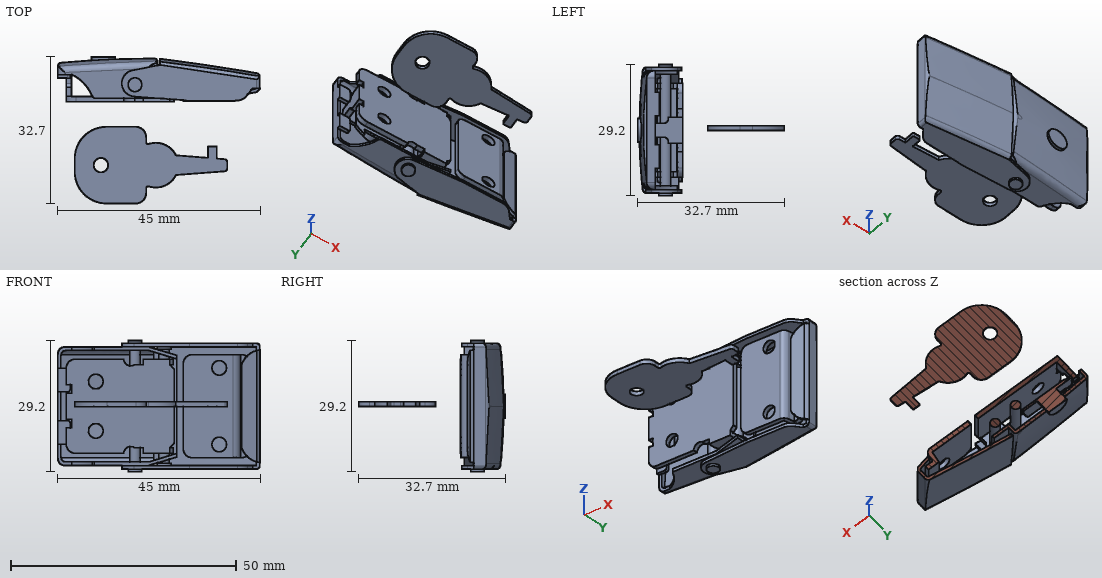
import cadquery as cq
import math

SHEET = 0.8
PLATE = 1.2
INSIDE_CORNER = 0.05
CORNER_BULGE = 0.7

PIN_X, PIN_Y = 17.15, 3.82
PIN_R = 1.15
PIN_HEAD_R = 1.55
PIN_LENGTH = 29.2
PIN_HALF_LENGTH = PIN_LENGTH / 2
ROD_X, ROD_Y = 23.62, 4.45
ROD_R = 1.15
ROD_HEAD_R = 1.55
ROD_HEAD_THICKNESS = 0.55

LEVER_HALF_WIDTH = 14.0
LEVER_INNER_HALF = LEVER_HALF_WIDTH - SHEET
LEVER_ROOF_X = 22.7
LEVER_END_X = 44.9
LEVER_FOLD_Y = (8.25, 6.55, 4.9)
LEVER_EAVE_Y = (8.95, 7.45, 5.7)
LEVER_RIDGE_Y = (9.65, 8.1, 6.3)
LEVER_EAVE_Z = 12.7
LEVER_END_WALL_Y = 3.0
LEVER_BOTTOM_Y = 0.25
LEVER_BOTTOM_X = (29.2, 39.85)
LEVER_TOE_MIDDLE = (41.2, 0.68)
LEVER_TOE_END = (42.1, 1.55)
LEVER_TOE_TOP_X = 43.3
LEVER_NOSE_R = 0.9
LEVER_HEADROOM = 0.45
LEVER_CORNER_R = 0.8
HINGE_EYE_Y = 4.15
HINGE_EYE_R = 2.92
HINGE_EYE_TOP_ANGLE, HINGE_EYE_BOTTOM_ANGLE = 100, -95

LIP_START_X, LIP_START_Y = 40.85, 1.55
LIP_EDGE_LEAN = 0.22
LIP_BEND_X, LIP_BEND_Y = 44.2, 2.15
LIP_END_X = 45
LIP_THICKNESS = 0.68
LIP_STRAIGHT_HALF = 8.32
LIP_END_HALF = 12.5
LIP_ARC_X, LIP_ARC_Z = 41.8, 10.9

COVER_HALF_WIDTH = LEVER_INNER_HALF
COVER_ROOF_END_X = 22.2
COVER_ARM_END_X = 26.4
COVER_ARM_END_Z = 11.3
COVER_TAPER_X = 20.25
COVER_FOLD_Y = (6.52, 7.05, 7.55)
COVER_EAVE_Y = (8.0, 8.7, 9.15)
COVER_RIDGE_Y = (8.7, 9.45, 9.68)
COVER_ROOF_THICKNESS = 0.9
COVER_EAVE_Z = 11.6
COVER_INNER_EAVE_Z = 11.45
COVER_BOTTOM_Y = 0.85
COVER_END_WALL = 0.7
COVER_END_WALL_Y = 6.08
COVER_CORNER_R = 1.58
COVER_INNER_CORNER_R = 1.1
SCALLOP_START_X = 3.1
SCALLOP_MIDDLE = (6.0, 3.9)
SCALLOP_END = (7.65, 1.25)
SCALLOP_FOOT_X = 8.05
COVER_NOSE_R = 0.68
WEB_TOP_Y = 7.4
WEB_BOTTOM_Y = WEB_TOP_Y - SHEET
CATCH_LENGTH = 2.8
CATCH_Z = (3.2, 8.45)
CATCH_CORNER_R = 0.65

LOCK_PLATE_X = (1.85, 25.88)
LOCK_PLATE_HALF = 10.5
LOCK_PLATE_CORNER_R = 2.15
LOCK_HOLE_X, LOCK_HOLE_Z = 8.45, 5.5
SCREW_HOLE_R = 1.6
EAR_X = 19.0
EAR_INNER_HALF = 9.22
EAR_R = 2.05
PIN_CLEARANCE_R = 2.5
NOTCH_R = 1.55
NOTCH_X = 16.2
CORNER_CUT_X = 24.95
CORNER_CHAMFER_Z = 8.2
TONGUE_HALF, TONGUE_TIP_HALF = 2.92, 1.58
TONGUE_SHOULDER_Y = 3.25
TONGUE_TIP_Y = 6.95
TONGUE_FILLET_R = 0.9
RELIEF_HALF = 4.8

KEEPER_X = 27.9
KEEPER_BEND_X = 38.9
KEEPER_BEND_R = 1.55
KEEPER_BEND_ANGLE = 80
KEEPER_END_X = 42.75
KEEPER_HALF = 11.45
KEEPER_FACE_Y = 0.15
KEEPER_FOOT_Y = 3.05
KEEPER_CORNER_R = 1.9
KEEPER_HOLE_X, KEEPER_HOLE_Z = 35.85, 8.5

LOCK_X = 10.12
LOCK_R = 2.65
LOCK_TOP_Y = 10.05
CAM_R = 6.7
CAM_Y = 5.62
CAM_THICKNESS = 0.6
CAM_FLAT_X = 4.65
CAM_ARM_HALF = 3.15
CAM_ARM_RECESS = 0.2

KEY_Z = -0.1
KEY_THICKNESS = 1.12
KEY_AXIS_Y = -14.05
KEY_LEFT_X, KEY_SHOULDER_X = 3.75, 19.65
KEY_HALF_HEIGHT = 8.55
KEY_BOW_R, KEY_SHOULDER_R = 7.1, 2.4
KEY_HOLE_X, KEY_HOLE_R = 9.6, 1.58
KEY_COLLAR_X, KEY_COLLAR_R = 21.8, 5.0
KEY_NECK_R = 0.35
BLADE_ROOT_X, BLADE_TIP_X = 25.2, 37.65
BLADE_ROOT_HALF = 2.3
BLADE_TIP_TOP, BLADE_TIP_BOTTOM = 1.3, -1.35
BLADE_TIP_R = 0.68
BIT_X = (33.35, 35.35)
BIT_TOP = 4.2
BIT_CORNER_R = 0.22


def cylinder_z(x, y, radius, half_length):
    """Cylinder along Z, centred on Z = 0."""
    return cq.Workplane("XY").center(x, y).circle(radius).extrude(half_length, both=True)


def cylinder_y(x, z, radius, y_from, y_to):
    """Cylinder along Y."""
    plane = cq.Plane(origin=(x, y_from, z), xDir=(1, 0, 0), normal=(0, 1, 0))
    return cq.Workplane(plane).circle(radius).extrude(y_to - y_from)


def box(x, y, z):
    """Box from three (low, high) pairs."""
    size = [high - low for low, high in (x, y, z)]
    return cq.Workplane("XY").box(*size, centered=False).translate((x[0], y[0], z[0]))


def plan_solid(outline, y_from, y_to):
    """Extrude a closed XZ outline, drawn as (x, z), along Y."""
    return outline.extrude(-(y_to - y_from)).translate((0, y_from, 0))


def both_sides(solid):
    """The solid and its mirror image about Z = 0, in one Workplane."""
    return solid.union(solid.mirror("XY"))


def crowned_loft(x_range, half_width, base_y, eave_z, fold_y, eave_y, ridge_y, curved=False):
    """Solid with upright sides, rounded upper corners and a roof that rises to the middle.

    The crown is one arc if `curved`, otherwise two slopes that meet in a ridge.
    """
    start_x, end_x = x_range
    wires = []
    for x, fold, eave, ridge in zip((start_x, (start_x + end_x) / 2, end_x), fold_y, eave_y, ridge_y):
        corner_y = fold + CORNER_BULGE * (eave - fold)
        corner_z = eave_z + CORNER_BULGE * (half_width - eave_z)
        section = (
            cq.Workplane("YZ", origin=(x, 0, 0))
            .moveTo(base_y, -half_width)
            .lineTo(fold, -half_width)
            .threePointArc((corner_y, -corner_z), (eave, -eave_z))
        )
        if curved:
            section = section.threePointArc((ridge, 0), (eave, eave_z))
        else:
            section = section.lineTo(ridge, 0).lineTo(eave, eave_z)
        section = (
            section
            .threePointArc((corner_y, corner_z), (fold, half_width))
            .lineTo(base_y, half_width)
            .close()
        )
        wires.append(section.val())
    return cq.Workplane(cq.Solid.makeLoft(wires))


def lowered(levels, drop):
    return [level - drop for level in levels]


def hinge_eye_point(degrees):
    angle = math.radians(degrees)
    return PIN_X + HINGE_EYE_R * math.cos(angle), HINGE_EYE_Y + HINGE_EYE_R * math.sin(angle)


def lever_side_profile():
    """Side outline: hinge eye, sloping top with a rounded end, and the relieved lower edge."""
    above_roof_y = LEVER_RIDGE_Y[0] + LEVER_HEADROOM
    nose = (LEVER_END_X, LEVER_RIDGE_Y[-1])
    return (
        cq.Workplane("XY")
        .moveTo(*hinge_eye_point(HINGE_EYE_BOTTOM_ANGLE))
        .threePointArc((PIN_X - HINGE_EYE_R, HINGE_EYE_Y), hinge_eye_point(HINGE_EYE_TOP_ANGLE))
        .lineTo(LEVER_ROOF_X, LEVER_FOLD_Y[0])
        .lineTo(LEVER_ROOF_X, above_roof_y)
        .lineTo(*nose)
        .lineTo(LEVER_END_X, LEVER_END_WALL_Y)
        .lineTo(LEVER_TOE_TOP_X, LEVER_END_WALL_Y)
        .lineTo(*LEVER_TOE_END)
        .threePointArc(LEVER_TOE_MIDDLE, (LEVER_BOTTOM_X[1], LEVER_BOTTOM_Y))
        .lineTo(LEVER_BOTTOM_X[0], LEVER_BOTTOM_Y)
        .close()
        .extrude(LEVER_HALF_WIDTH, both=True)
        .edges(cq.NearestToPointSelector((*nose, 0)))
        .fillet(LEVER_NOSE_R)
    )


def make_lip():
    """Sheet sloping back under the lever end, cut to a D shape."""
    strip = (
        cq.Workplane("XY")
        .polyline([
            (LIP_START_X, LIP_START_Y),
            (LIP_BEND_X, LIP_BEND_Y),
            (LIP_END_X, LEVER_END_WALL_Y),
            (LIP_BEND_X, LEVER_END_WALL_Y),
            (LIP_START_X - LIP_EDGE_LEAN, LIP_START_Y + LIP_THICKNESS),
        ])
        .close()
        .extrude(LEVER_HALF_WIDTH, both=True)
    )
    edge_x = LIP_START_X - LIP_EDGE_LEAN
    outline = (
        cq.Workplane("XZ")
        .moveTo(edge_x, -LIP_STRAIGHT_HALF)
        .threePointArc((LIP_ARC_X, -LIP_ARC_Z), (LIP_END_X, -LIP_END_HALF))
        .lineTo(LIP_END_X, LIP_END_HALF)
        .threePointArc((LIP_ARC_X, LIP_ARC_Z), (edge_x, LIP_STRAIGHT_HALF))
        .close()
    )
    return strip.intersect(plan_solid(outline, 0, LEVER_RIDGE_Y[0]))


def make_lever():
    roof = crowned_loft((LEVER_ROOF_X, LEVER_END_X), LEVER_HALF_WIDTH, 0, LEVER_EAVE_Z,
                        LEVER_FOLD_Y, LEVER_EAVE_Y, LEVER_RIDGE_Y)
    footprint = box((0, LEVER_END_X), (0, LEVER_RIDGE_Y[0]), (-LEVER_HALF_WIDTH, LEVER_HALF_WIDTH))
    roof = roof.intersect(footprint.edges("|Y and >X").fillet(LEVER_CORNER_R))
    hollow = crowned_loft((LEVER_ROOF_X, LEVER_END_X - SHEET), LEVER_INNER_HALF, 0,
                          LEVER_INNER_HALF - INSIDE_CORNER, lowered(LEVER_EAVE_Y, SHEET + INSIDE_CORNER),
                          lowered(LEVER_EAVE_Y, SHEET), lowered(LEVER_RIDGE_Y, SHEET))
    wall = box((0, LEVER_ROOF_X), (0, LEVER_RIDGE_Y[0]), (LEVER_INNER_HALF, LEVER_HALF_WIDTH))
    lever = roof.cut(hollow).union(both_sides(wall)).intersect(lever_side_profile())
    lever = lever.union(make_lip())
    return lever.cut(cylinder_z(PIN_X, PIN_Y, PIN_R, PIN_HALF_LENGTH))


def cover_plan(inset, start_x, corner_r):
    """Plan outline of the cover, tapering into the two arms."""
    half = COVER_HALF_WIDTH - inset
    arm_half = COVER_ARM_END_Z - inset
    outline = (
        cq.Workplane("XZ")
        .polyline([
            (start_x, -half),
            (COVER_TAPER_X, -half),
            (COVER_ARM_END_X, -arm_half),
            (COVER_ARM_END_X, arm_half),
            (COVER_TAPER_X, half),
            (start_x, half),
        ])
        .close()
    )
    return plan_solid(outline, 0, COVER_RIDGE_Y[-1]).edges("|Y and <X").fillet(corner_r)


def cover_side_profile():
    """Side outline with the scallop below the end wall and rounded roof ends."""
    start_y, end_y = COVER_RIDGE_Y[0], COVER_RIDGE_Y[-1]
    arc_inset = COVER_NOSE_R * (1 - math.sqrt(0.5))
    return (
        cq.Workplane("XY")
        .moveTo(0, COVER_END_WALL_Y)
        .lineTo(SCALLOP_START_X, COVER_END_WALL_Y)
        .threePointArc(SCALLOP_MIDDLE, SCALLOP_END)
        .lineTo(SCALLOP_FOOT_X, COVER_BOTTOM_Y)
        .lineTo(COVER_ARM_END_X, COVER_BOTTOM_Y)
        .lineTo(COVER_ARM_END_X, WEB_TOP_Y)
        .lineTo(COVER_ROOF_END_X, WEB_TOP_Y)
        .lineTo(COVER_ROOF_END_X, end_y - COVER_NOSE_R)
        .threePointArc((COVER_ROOF_END_X - arc_inset, end_y - arc_inset),
                       (COVER_ROOF_END_X - COVER_NOSE_R, end_y))
        .lineTo(COVER_NOSE_R, end_y)
        .lineTo(COVER_NOSE_R, start_y)
        .threePointArc((arc_inset, start_y - arc_inset), (0, start_y - COVER_NOSE_R))
        .close()
        .extrude(COVER_HALF_WIDTH, both=True)
    )


def make_cover():
    roof = crowned_loft((0, COVER_ROOF_END_X), COVER_HALF_WIDTH, 0, COVER_EAVE_Z,
                        COVER_FOLD_Y, COVER_EAVE_Y, COVER_RIDGE_Y, curved=True)
    arms = box((COVER_TAPER_X, COVER_ARM_END_X), (0, WEB_TOP_Y), (-COVER_HALF_WIDTH, COVER_HALF_WIDTH))
    outside = roof.union(arms).intersect(cover_plan(0, 0, COVER_CORNER_R))
    inner_plan = cover_plan(SHEET, COVER_END_WALL, COVER_INNER_CORNER_R)
    roof_hollow = crowned_loft((0, COVER_ROOF_END_X - SHEET), COVER_HALF_WIDTH - SHEET, 0,
                               COVER_INNER_EAVE_Z, lowered(COVER_FOLD_Y, COVER_ROOF_THICKNESS),
                               lowered(COVER_EAVE_Y, COVER_ROOF_THICKNESS),
                               lowered(COVER_RIDGE_Y, COVER_ROOF_THICKNESS), curved=True)
    under_web = box((COVER_TAPER_X, COVER_ARM_END_X), (0, WEB_BOTTOM_Y),
                    (-COVER_HALF_WIDTH, COVER_HALF_WIDTH))
    cover = outside.cut(roof_hollow.union(under_web).intersect(inner_plan))
    cover = cover.intersect(cover_side_profile())
    catch = box((0, CATCH_LENGTH), (COVER_END_WALL_Y - SHEET, COVER_END_WALL_Y), CATCH_Z)
    catch = catch.edges("|Y and >X").fillet(CATCH_CORNER_R)
    cover = cover.union(both_sides(catch))
    for x, y, radius in ((PIN_X, PIN_Y, PIN_R), (ROD_X, ROD_Y, ROD_R)):
        cover = cover.cut(cylinder_z(x, y, radius, COVER_HALF_WIDTH))
    return cover.cut(cylinder_y(LOCK_X, 0, LOCK_R, 0, LOCK_TOP_Y))


def make_ear():
    """Upright ear on the +Z edge of the lock plate: cleared for the pin, rounded about the rod."""
    drop = math.sqrt(EAR_R ** 2 - (CORNER_CUT_X - ROD_X) ** 2)
    ear = (
        cq.Workplane("XY")
        .moveTo(EAR_X, 0)
        .lineTo(CORNER_CUT_X, 0)
        .lineTo(CORNER_CUT_X, ROD_Y - drop)
        .threePointArc((ROD_X + EAR_R, ROD_Y), (ROD_X, ROD_Y + EAR_R))
        .lineTo(EAR_X, ROD_Y + EAR_R)
        .close()
        .extrude(LOCK_PLATE_HALF - EAR_INNER_HALF)
        .translate((0, 0, EAR_INNER_HALF))
    )
    return ear.cut(cylinder_z(PIN_X, PIN_Y, PIN_CLEARANCE_R, LOCK_PLATE_HALF))


def make_tongue():
    """Upright tongue at the X-low edge of the lock plate, narrowing above its shoulders."""
    low_x = LOCK_PLATE_X[0]
    root = box((low_x, low_x + PLATE), (0, TONGUE_SHOULDER_Y), (-TONGUE_HALF, TONGUE_HALF))
    tip = box((low_x, low_x + PLATE), (0, TONGUE_TIP_Y), (-TONGUE_TIP_HALF, TONGUE_TIP_HALF))
    inside_corners = cq.selectors.BoxSelector(
        (low_x - 0.45, TONGUE_SHOULDER_Y - 0.45, -TONGUE_TIP_HALF - 0.45),
        (low_x + PLATE + 0.45, TONGUE_SHOULDER_Y + 0.45, TONGUE_TIP_HALF + 0.45),
    )
    return root.union(tip).edges(inside_corners).edges("|X").fillet(TONGUE_FILLET_R)


def make_lock_plate():
    low_x, high_x = LOCK_PLATE_X
    plate = box(LOCK_PLATE_X, (0, PLATE), (-LOCK_PLATE_HALF, LOCK_PLATE_HALF))
    plate = plate.edges("|Y and <X").fillet(LOCK_PLATE_CORNER_R)
    relief = box((low_x, low_x + PLATE), (0, PLATE), (TONGUE_HALF, RELIEF_HALF))
    notch = cylinder_y(NOTCH_X, LOCK_PLATE_HALF, NOTCH_R, 0, PLATE)
    notch = notch.union(box((NOTCH_X, EAR_X), (0, PLATE), (EAR_INNER_HALF, LOCK_PLATE_HALF)))
    corner = plan_solid(
        cq.Workplane("XZ")
        .polyline([
            (CORNER_CUT_X, LOCK_PLATE_HALF),
            (CORNER_CUT_X, EAR_INNER_HALF),
            (high_x, CORNER_CHAMFER_Z),
            (high_x, LOCK_PLATE_HALF),
        ])
        .close(),
        0, PLATE,
    )
    hole = cylinder_y(LOCK_HOLE_X, LOCK_HOLE_Z, SCREW_HOLE_R, 0, PLATE)
    for cut in (relief, notch, corner, hole):
        plate = plate.cut(both_sides(cut))
    plate = plate.union(both_sides(make_ear())).union(make_tongue())
    return plate.cut(cylinder_z(ROD_X, ROD_Y, ROD_R, LOCK_PLATE_HALF))


def make_keeper_plate():
    """Flat plate joggled up to a foot above the lever lip."""
    face, foot = KEEPER_FACE_Y, KEEPER_FOOT_Y
    bend_y = face + KEEPER_BEND_R
    angle = math.radians(KEEPER_BEND_ANGLE)
    arc_end = (
        KEEPER_BEND_X + KEEPER_BEND_R * math.sin(angle),
        bend_y - KEEPER_BEND_R * math.cos(angle),
    )
    arc_middle = (
        KEEPER_BEND_X + KEEPER_BEND_R * math.sin(angle / 2),
        bend_y - KEEPER_BEND_R * math.cos(angle / 2),
    )
    foot_x = arc_end[0] + (foot - arc_end[1]) / math.tan(angle)
    setback = PLATE * math.tan(angle / 2)
    plate = (
        cq.Workplane("XY")
        .moveTo(KEEPER_X, face)
        .lineTo(KEEPER_BEND_X, face)
        .threePointArc(arc_middle, arc_end)
        .lineTo(foot_x, foot)
        .lineTo(KEEPER_END_X, foot)
        .lineTo(KEEPER_END_X, foot + PLATE)
        .lineTo(foot_x - setback, foot + PLATE)
        .lineTo(foot_x - setback - (foot - face) / math.tan(angle), face + PLATE)
        .lineTo(KEEPER_X, face + PLATE)
        .close()
        .extrude(KEEPER_HALF, both=True)
    )
    plate = plate.edges("|Y").edges("<X or >X").fillet(KEEPER_CORNER_R)
    hole = cylinder_y(KEEPER_HOLE_X, KEEPER_HOLE_Z, SCREW_HOLE_R, face, face + PLATE)
    return plate.cut(both_sides(hole))


def make_headed_rod(x, y, radius, head_radius, half_length, head_thickness):
    """Round rod along Z with a head at each end."""
    head = cq.Workplane("XY", origin=(x, y, half_length - head_thickness))
    head = head.circle(head_radius).extrude(head_thickness)
    return cylinder_z(x, y, radius, half_length).union(both_sides(head))


def make_lock():
    """Lock cylinder through the cover, with a cam and an arm that reaches to the tongue."""
    cam_range = (CAM_Y, CAM_Y + CAM_THICKNESS)
    cam = cylinder_y(LOCK_X, 0, CAM_R, *cam_range)
    cam = cam.cut(box((LOCK_X - CAM_R, CAM_FLAT_X), cam_range, (-CAM_R, CAM_R)))
    screw_relief = box((LOCK_HOLE_X - SCREW_HOLE_R, LOCK_X + CAM_R), cam_range,
                       (LOCK_HOLE_Z - SCREW_HOLE_R, CAM_R))
    cam = cam.cut(both_sides(screw_relief))
    arm = box((LOCK_PLATE_X[0] + PLATE, LOCK_X),
              (CAM_Y + CAM_ARM_RECESS, CAM_Y + CAM_ARM_RECESS + CAM_THICKNESS),
              (-CAM_ARM_HALF, CAM_ARM_HALF))
    return cam.union(arm).union(cylinder_y(LOCK_X, 0, LOCK_R, CAM_Y, LOCK_TOP_Y))


def make_key():
    """Flat key: bow, round collar and tapered blade with one bit; y is measured from the key axis."""
    bow = cq.Workplane("XY").center((KEY_LEFT_X + KEY_SHOULDER_X) / 2, 0)
    bow = bow.rect(KEY_SHOULDER_X - KEY_LEFT_X, 2 * KEY_HALF_HEIGHT).extrude(KEY_THICKNESS)
    bow = bow.edges("|Z and <X").fillet(KEY_BOW_R)
    bow = bow.edges("|Z and >X").fillet(KEY_SHOULDER_R)
    collar = cq.Workplane("XY").center(KEY_COLLAR_X, 0).circle(KEY_COLLAR_R).extrude(KEY_THICKNESS)
    blade = (
        cq.Workplane("XY")
        .polyline([
            (BLADE_ROOT_X, -BLADE_ROOT_HALF),
            (BLADE_TIP_X, BLADE_TIP_BOTTOM),
            (BLADE_TIP_X, BLADE_TIP_TOP),
            (BLADE_ROOT_X, BLADE_ROOT_HALF),
        ])
        .close()
        .extrude(KEY_THICKNESS)
        .edges("|Z and >X")
        .fillet(BLADE_TIP_R)
    )
    bit = box(BIT_X, (0, BIT_TOP), (0, KEY_THICKNESS)).edges("|Z and >Y").fillet(BIT_CORNER_R)
    key = bow.union(collar).union(blade).union(bit)
    neck = cq.selectors.BoxSelector(
        (KEY_SHOULDER_X - 0.45, -KEY_COLLAR_R, -0.45),
        (KEY_SHOULDER_X + 0.45, KEY_COLLAR_R, KEY_THICKNESS + 0.45),
    )
    key = key.edges("|Z").edges(neck).fillet(KEY_NECK_R)
    hole = cq.Workplane("XY").center(KEY_HOLE_X, 0).circle(KEY_HOLE_R).extrude(KEY_THICKNESS)
    return key.cut(hole).translate((0, KEY_AXIS_Y, KEY_Z))


lever = make_lever()
cover = make_cover()
lock_plate = make_lock_plate()
keeper_plate = make_keeper_plate()
hinge_pin = make_headed_rod(PIN_X, PIN_Y, PIN_R, PIN_HEAD_R, PIN_HALF_LENGTH,
                            PIN_HALF_LENGTH - LEVER_HALF_WIDTH)
link_rod = make_headed_rod(ROD_X, ROD_Y, ROD_R, ROD_HEAD_R, LEVER_INNER_HALF, ROD_HEAD_THICKNESS)
lock = make_lock()
key = make_key()

bodies = [lever, cover, lock_plate, keeper_plate, hinge_pin, link_rod, lock, key]
result = cq.Compound.makeCompound([body.solids().val() for body in bodies])